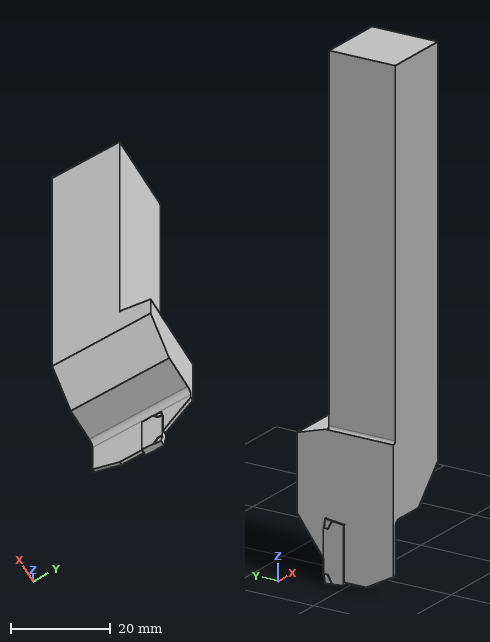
import cadquery as cq

total_length = 114.3
insert_width = 1.5
blade_left = 0.3
blade_right = 1.1
blade_bottom = 1.0

shank_width = 16.0
shank_depth = 15.8
shank_left = 1.0
shank_right = shank_left + shank_width
head_depth = 23.0
head_top = 33.0
head_back_top = 31.0
head_bottom = 16.5
step_fillet = shank_left - blade_left
head_slope_start = 16.2
head_chamfer_width = 7.3
head_chamfer_height = 7.8
blade_fillet = 1.4

back_edge_bottom = 13.7
tip_back = 16.5
tip_slope_end = 4.9
toe_width = 6.4
toe_height = 4.6

insert_front = 11.7
insert_top = 14.0
tip_setback = 0.3
tip_height = 2.1
end_relief = 0.5
side_relief_length = 2.2
side_relief_inner_length = 1.0
side_relief_depth = 0.1


def extrude_x(points, left, right):
    """Extrude a closed (Y, Z) outline from left to right along X."""
    return cq.Workplane("YZ").workplane(offset=left).polyline(points).close().extrude(right - left)


def make_insert_blank():
    """Double-ended insert with its two cutting tips set back from the rake side."""
    outline = [
        (insert_front, end_relief),
        (tip_back - tip_setback, 0),
        (tip_back, tip_height),
        (tip_back, insert_top - tip_height),
        (tip_back - tip_setback, insert_top),
        (insert_front, insert_top - end_relief),
    ]
    return extrude_x(outline, 0, insert_width)


def make_insert():
    """Insert with shallow reliefs on both side faces at both cutting tips."""
    insert = make_insert_blank()
    for end, inward in ((0, 1), (insert_top, -1)):
        relief = [
            (tip_back, end),
            (tip_back - side_relief_length, end),
            (tip_back - side_relief_inner_length, end + inward * tip_height),
            (tip_back, end + inward * tip_height),
        ]
        for left in (0, insert_width - side_relief_depth):
            insert = insert.cut(extrude_x(relief, left, left + side_relief_depth))
    return insert


def make_holder():
    """Straight shank with an offset head and a thin blade, slotted for the insert."""
    shank_outline = [
        (0, head_bottom),
        (shank_depth, head_bottom),
        (shank_depth, total_length),
        (0, total_length),
    ]
    head_outline = [
        (0, toe_height),
        (toe_width, blade_bottom),
        (tip_back, blade_bottom),
        (tip_back, tip_slope_end),
        (head_depth, back_edge_bottom),
        (head_depth, head_back_top),
        (head_slope_start, head_top),
        (0, head_top),
    ]
    shank = extrude_x(shank_outline, blade_left, shank_right)
    head = extrude_x(head_outline, blade_left, shank_right)

    profile = (
        cq.Workplane("XZ")
        .moveTo(shank_left, total_length)
        .lineTo(shank_left, head_top + step_fillet)
        .radiusArc((blade_left, head_top), step_fillet)
        .lineTo(blade_left, 0)
        .lineTo(blade_right, 0)
        .lineTo(blade_right, head_bottom - blade_fillet)
        .radiusArc((blade_right + blade_fillet, head_bottom), blade_fillet)
        .lineTo(shank_right - head_chamfer_width, head_bottom)
        .lineTo(shank_right, head_bottom + head_chamfer_height)
        .lineTo(shank_right, total_length)
        .close()
        .extrude(-head_depth)
    )
    slot_outline = [
        (insert_front, 0),
        (tip_back, 0),
        (tip_back, insert_top - tip_height),
        (tip_back - tip_setback, insert_top),
        (insert_front, insert_top - end_relief),
    ]
    slot = extrude_x(slot_outline, 0, insert_width)
    return shank.union(head).intersect(profile).cut(slot)


holder = make_holder()
insert = make_insert()

result = cq.Compound.makeCompound([holder.val(), insert.val()])